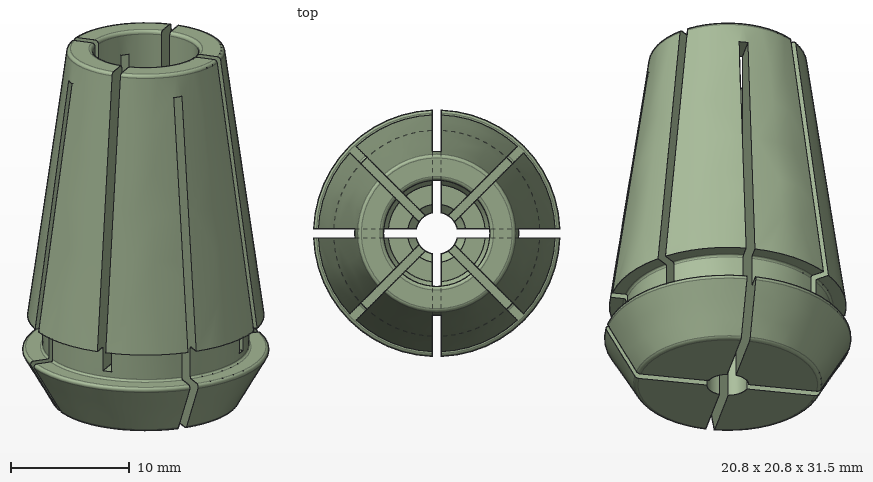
import cadquery as cq
import math

height = 31.5
taper_half_angle = 8.0
nut_cone_half_angle = 30.0

flange_radius = 10.4
flange_top_z = 4.8
flange_round = 0.25
base_round = 0.4
groove_radius = 8.7
groove_round = 0.2
taper_base_radius = 10.0
taper_base_z = 7.62
top_round = 0.3

relief_radius = 4.47
mouth_round = 0.3
relief_step_z = 15.75
relief_floor_radius = 4.1
relief_cone_half_angle = 30.0
lead_in_radius = 2.45
lead_in_half_angle = 45.0
bore_radius = 1.75

slot_width = 0.75
base_slot_top_z = 29.45
top_slot_floor_z = 5.48

match_tolerance = 0.003


def rise(radial_change, half_angle):
    """Axial length over which a cone changes its radius by the given amount."""
    return radial_change / math.tan(math.radians(half_angle))


def spread(length, half_angle):
    """Radial change of a cone over the given axial length."""
    return length * math.tan(math.radians(half_angle))


def revolve_about_axis(points):
    """Solid of revolution about Z from (radius, z) points."""
    return cq.Workplane("XZ").polyline(points).close().revolve(360, (0, 0, 0), (0, 1, 0))


def round_edge(body, radius, z, size):
    """Fillet the circular edge of the given radius and height about Z."""
    edges = [
        edge
        for edge in body.edges("%CIRCLE").vals()
        if abs(edge.Center().z - z) < match_tolerance and abs(edge.radius() - radius) < match_tolerance
    ]
    return body.newObject(edges).fillet(size)


def collet_body():
    """Solid collet with its outer rounds, before the bore and slots."""
    half = math.radians(nut_cone_half_angle)
    corner_setback = flange_round * math.tan(math.pi / 4 + half / 2)
    corner_radius = flange_radius - flange_round + corner_setback
    base_radius = corner_radius - spread(flange_top_z, nut_cone_half_angle)
    top_radius = taper_base_radius - spread(height - taper_base_z, taper_half_angle)
    body = revolve_about_axis([
        (0, 0),
        (base_radius, 0),
        (corner_radius, flange_top_z),
        (groove_radius, flange_top_z),
        (groove_radius, taper_base_z),
        (taper_base_radius, taper_base_z),
        (top_radius, height),
        (0, height),
    ])
    body = round_edge(body, base_radius, 0, base_round)
    body = round_edge(body, corner_radius, flange_top_z, flange_round)
    body = round_edge(body, groove_radius, flange_top_z, groove_round)
    body = round_edge(body, groove_radius, taper_base_z, groove_round)
    return round_edge(body, top_radius, height, top_round)


def cut_bore(body):
    """Cut the gripping bore, its conical lead-in and the wide relief above, rounding the mouth."""
    lead_in_z = relief_step_z - rise(lead_in_radius - bore_radius, lead_in_half_angle)
    relief_wall_z = relief_step_z + rise(relief_radius - relief_floor_radius, relief_cone_half_angle)
    bore = revolve_about_axis([
        (0, 0),
        (bore_radius, 0),
        (bore_radius, lead_in_z),
        (lead_in_radius, relief_step_z),
        (relief_floor_radius, relief_step_z),
        (relief_radius, relief_wall_z),
        (relief_radius, height),
        (0, height),
    ])
    return round_edge(body.cut(bore), relief_radius, height, mouth_round)


def crossed_slots(bottom_z, top_z, turn):
    """Two slots crossing at right angles on the axis, turned about Z."""
    slots = cq.Workplane("XY")
    slot_length = 2 * (flange_radius + slot_width)
    for angle in (turn, turn + 90):
        slot = (
            cq.Workplane("XY", origin=(0, 0, bottom_z))
            .rect(slot_length, slot_width)
            .extrude(top_z - bottom_z)
            .rotate((0, 0, 0), (0, 0, 1), angle)
        )
        slots = slots.add(slot)
    return slots.combine()


body = cut_bore(collet_body())
body = body.cut(crossed_slots(0, base_slot_top_z, 0))
result = body.cut(crossed_slots(top_slot_floor_z, height, 45))